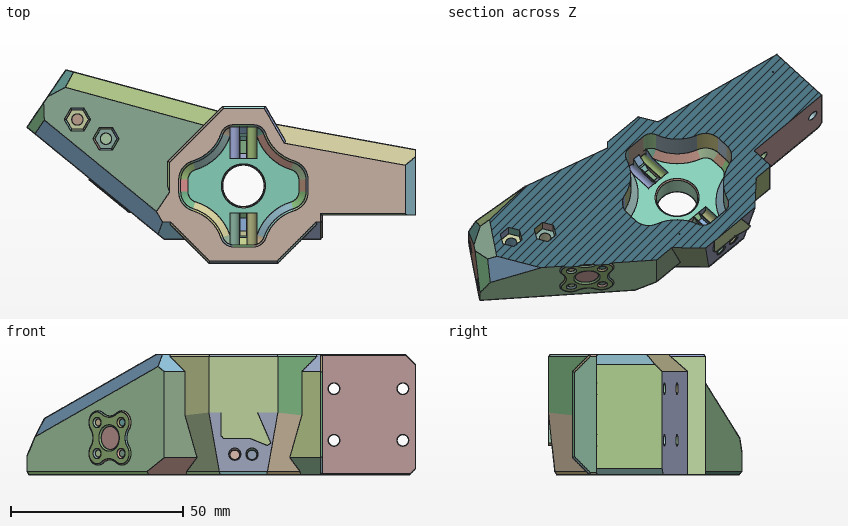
import cadquery as cq
import math

HEIGHT = 35.0
EDGE_BREAK = 0.6
FOOT_HEIGHT = 1.0
ARM_FOOT_INSET = 1.0
BOSS_FOOT_INSET = 0.6
SCREW_D = 3.3
BIG_CHAMFER = 5.0

BOSS_LEFT = -22.0
BOSS_RIGHT = 22.4
BOSS_BACK = 23.1
BOSS_FRONT = -22.5
BOSS_BACK_LEFT = -6.0
BOSS_BACK_RIGHT = 6.4
BOSS_FRONT_HALF = 10.0
BACK_RIGHT_ANGLE = 60.0
DRAFT_TOP = 18.0
DRAFT_SIDE_TOP = 17.2
DRAFT_FOOT_Y = -20.7
DRAFT_FOOT_HALF = 7.0

BLOCK_FRONT = -15.55
BLOCK_RIGHT = 22.95

ARM_ANGLE = 34.0
ARM_SLOPE = 24.0
ARM_LEVEL_REACH = 16.75
ARM_TIP = (-62.86, 17.0)
ARM_BACK_CORNER = (-51.55, 33.7)
ARM_FRONT_CORNER_X = -23.0
ARM_BACK_ANGLE = 15.2
ARM_INNER_BACK_X = -4.0
ARM_INNER_FRONT_X = 12.0
RIDGE_FRONT_HIGH = (-25.2, -7.5)
RIDGE_FRONT_LOW = (-57.8, 19.1)
RIDGE_BACK_HIGH = (-11.5, 17.6)
RIDGE_BACK_LOW = (-51.7, 28.6)
FRONT_BEVEL_LOW_Z = 10.8
FRONT_BEVEL_LOW_Y = 15.4
BACK_BEVEL_LOW = (-49.2, 33.05, 10.7)
TIP_FRONT_Z = 5.5
TIP_BACK_Z = 6.6
TIP_FRONT_SHARE = 0.43
TIP_BACK_SHARE = 0.53

NUT_FIRST = (-48.2, 19.25)
NUT_SPACING = 10.0
NUT_FLATS = 5.6
HEX_FLAT_SHARE = math.cos(math.radians(30))
NUT_RIM = 0.5
NUT_FLOOR = 14.0
NUT_SCREW_DEPTH = 6.0
END_HOLE_SPACING = 12.9
END_HOLE_Z = 3.9
END_HOLE_DEPTH = 12.0

PAD_CENTRE_X = -38.75
PAD_CENTRE_Z = 10.7
PAD_LOBE_PITCH = 9.0
PAD_HALF = 7.9
PAD_WAIST_HALF = 6.4
PAD_RAISE = 0.4
PAD_LOBE_DISH_D = 3.0
PAD_DISH_D = 7.7
PAD_DISH_DEPTH = 0.5

PLAQUE_OUTLINE = [
    (-6.46, DRAFT_TOP),
    (-6.46, 11.3),
    (-5.8, 10.6),
    (1.85, 10.6),
    (6.95, 8.5),
    (7.97, 9.2),
    (4.15, DRAFT_TOP),
]

RIGHT_END = 50.0
RIGHT_FRONT = -8.5
RIGHT_END_BACK = 10.5
RIGHT_BACK_ANGLE = 10.35
RIGHT_TOP_CHAMFER = 3.0
RIGHT_FOOT_CHAMFER = 1.8
RIGHT_EDGE_BREAK = 0.4
RIGHT_HOLE_X = (26.3, 46.3)
RIGHT_HOLE_Z = (10.0, 25.0)

FLOOR_Z = 7.1
FLOOR_CHAMFER = 2.1
CENTRE_D = 12.0
CENTRE_RIM = 0.4
LOBE_X = 18.2
LOBE_X_FLAT = 1.7
LOBE_Y = 17.15
LOBE_Y_FLAT = 2.9
LOBE_X_R = 5.2
LOBE_Y_R = 3.2
FLANK_R = 13.0

CHANNEL_X = 2.5
CHANNEL_Z = 5.8
CHANNEL_END = 7.95
CHANNEL_D = 2.8
CHANNEL_RIM_D = 3.5
NOTCH_WIDTH = 1.9
NOTCH_OUTER = 14.5
NOTCH_DEPTH = 1.4

TALL = 200.0
CLEARANCE = 1.0


def along(angle):
    return math.cos(math.radians(angle)), math.sin(math.radians(angle))


def trim(body, p, q, r):
    """Cut away the side of the plane p-q-r that does not hold the centre of the body."""
    a, b, c = cq.Vector(*p), cq.Vector(*q), cq.Vector(*r)
    normal = (b - a).cross(c - a)
    if normal.dot(body.val().Center() - a) > 0:
        normal = -normal
    plane = cq.Plane(origin=a.toTuple(), xDir=(b - a).toTuple(), normal=normal.toTuple())
    return body.cut(cq.Workplane(plane).rect(TALL, TALL).extrude(TALL))


def arm_top_z(point):
    """Height of the sloping top of the left arm at a point in plan."""
    c, s = along(ARM_ANGLE)
    reach = -point[0] * c + point[1] * s
    return HEIGHT - (reach - ARM_LEVEL_REACH) * math.tan(math.radians(ARM_SLOPE))


def on_arm_top(point):
    return (point[0], point[1], arm_top_z(point))


def between(start, end, share):
    return tuple(a + (b - a) * share for a, b in zip(start, end))


ARM_FRONT_CORNER = (ARM_FRONT_CORNER_X, BLOCK_FRONT)
FRONT_FACE_ANGLE = math.degrees(
    math.atan2(ARM_FRONT_CORNER[1] - ARM_TIP[1], ARM_FRONT_CORNER[0] - ARM_TIP[0])
)


def arm_front_at_y(y):
    share = (y - ARM_TIP[1]) / (ARM_FRONT_CORNER[1] - ARM_TIP[1])
    return between(ARM_TIP, ARM_FRONT_CORNER, share)


def chamfer_block_front(body):
    """Bevel the upper and lower front edges that the block and the left arm share."""
    bevel_y = BLOCK_FRONT + BIG_CHAMFER
    for level, inner in ((HEIGHT, HEIGHT - BIG_CHAMFER), (0, BIG_CHAMFER)):
        body = trim(body, (0, bevel_y, level), (1, bevel_y, level), (0, BLOCK_FRONT, inner))
    return body


def make_boss():
    """Octagon whose front and front flanks lean inward below a break line and end in a bevelled foot."""
    front_run = -BOSS_FRONT_HALF - BOSS_LEFT
    side_front = BOSS_FRONT + (BOSS_RIGHT - BOSS_FRONT_HALF)
    side_back = BOSS_BACK - (BOSS_RIGHT - BOSS_BACK_RIGHT) * math.tan(math.radians(BACK_RIGHT_ANGLE))
    boss = (
        cq.Workplane("XY")
        .polyline(
            [
                (-BOSS_FRONT_HALF, BOSS_FRONT),
                (BOSS_FRONT_HALF, BOSS_FRONT),
                (BOSS_RIGHT, side_front),
                (BOSS_RIGHT, side_back),
                (BOSS_BACK_RIGHT, BOSS_BACK),
                (BOSS_BACK_LEFT, BOSS_BACK),
                (BOSS_LEFT, BOSS_BACK + BOSS_LEFT - BOSS_BACK_LEFT),
                (BOSS_LEFT, BOSS_FRONT + front_run),
            ]
        )
        .close()
        .extrude(HEIGHT)
        .faces(">Z")
        .chamfer(EDGE_BREAK)
    )
    front_toe = (0, DRAFT_FOOT_Y, FOOT_HEIGHT)
    boss = trim(boss, (0, BOSS_FRONT, DRAFT_TOP), (1, BOSS_FRONT, DRAFT_TOP), front_toe)
    toe_step = (1, DRAFT_FOOT_Y, FOOT_HEIGHT)
    boss = trim(boss, front_toe, toe_step, (0, DRAFT_FOOT_Y + BOSS_FOOT_INSET, 0))
    side_run = BLOCK_FRONT - BOSS_FRONT
    level_share = (DRAFT_TOP - DRAFT_SIDE_TOP) / (DRAFT_TOP - FOOT_HEIGHT)
    diagonal_inset = BOSS_FOOT_INSET * math.sqrt(0.5)
    for side in (-1, 1):
        corner = (side * BOSS_FRONT_HALF, BOSS_FRONT, DRAFT_TOP)
        flank = (side * (BOSS_FRONT_HALF + side_run), BLOCK_FRONT, DRAFT_SIDE_TOP)
        toe = (side * DRAFT_FOOT_HALF, DRAFT_FOOT_Y, FOOT_HEIGHT)
        toe_flank = tuple(t + f - c for t, f, c in zip(toe, flank, between(corner, toe, level_share)))
        toe_inset = (toe[0] - side * diagonal_inset, toe[1] + diagonal_inset, 0)
        boss = trim(boss, corner, flank, toe)
        boss = trim(boss, toe, toe_flank, toe_inset)
    return boss


def make_block():
    block = (
        cq.Workplane("XY")
        .rect(BLOCK_RIGHT, -BLOCK_FRONT, centered=False)
        .extrude(HEIGHT)
        .translate((0, BLOCK_FRONT, 0))
    )
    return chamfer_block_front(block).faces(">X").chamfer(EDGE_BREAK)


def make_left_arm():
    back_drop = (ARM_INNER_BACK_X - ARM_BACK_CORNER[0]) * math.tan(math.radians(ARM_BACK_ANGLE))
    inner_back = (ARM_INNER_BACK_X, ARM_BACK_CORNER[1] - back_drop)
    inner_front = (ARM_INNER_FRONT_X, BLOCK_FRONT)
    arm = (
        cq.Workplane("XY")
        .polyline([ARM_TIP, ARM_FRONT_CORNER, inner_front, inner_back, ARM_BACK_CORNER])
        .close()
        .extrude(HEIGHT)
    )

    c, s = along(ARM_ANGLE)
    high = (-ARM_LEVEL_REACH * c, ARM_LEVEL_REACH * s)
    level_step = (high[0] + s, high[1] + c)
    ridge_front_low = on_arm_top(RIDGE_FRONT_LOW)
    ridge_back_low = on_arm_top(RIDGE_BACK_LOW)
    arm = trim(arm, on_arm_top(high), on_arm_top(level_step), ridge_front_low)

    front_low = arm_front_at_y(FRONT_BEVEL_LOW_Y) + (FRONT_BEVEL_LOW_Z,)
    arm = trim(arm, on_arm_top(RIDGE_FRONT_HIGH), ridge_front_low, front_low)
    arm = trim(arm, on_arm_top(RIDGE_BACK_HIGH), ridge_back_low, BACK_BEVEL_LOW)

    tip_front = on_arm_top(between(ARM_TIP, ARM_BACK_CORNER, TIP_FRONT_SHARE))
    tip_back = on_arm_top(between(ARM_TIP, ARM_BACK_CORNER, TIP_BACK_SHARE))
    arm = trim(arm, tip_front, ridge_front_low, ARM_TIP + (TIP_FRONT_Z,))
    arm = trim(arm, tip_back, ridge_back_low, ARM_BACK_CORNER + (TIP_BACK_Z,))

    arm = break_foot(arm, ARM_FRONT_CORNER, ARM_TIP)
    arm = break_foot(arm, ARM_BACK_CORNER, inner_back)
    arm = chamfer_block_front(arm)
    for offset in (-END_HOLE_SPACING / 2, END_HOLE_SPACING / 2):
        arm = arm.cut(make_end_hole(offset))
    return arm.cut(make_nut_pockets())


def break_foot(body, start, end):
    """Bevel along the underside edge of the wall that runs clockwise from start to end."""
    dx, dy = end[0] - start[0], end[1] - start[1]
    length = math.hypot(dx, dy)
    inset = (start[0] + dy / length * ARM_FOOT_INSET, start[1] - dx / length * ARM_FOOT_INSET)
    return trim(body, start + (FOOT_HEIGHT,), end + (FOOT_HEIGHT,), inset + (0,))


def make_right_arm():
    root_back = RIGHT_END_BACK + RIGHT_END * math.tan(math.radians(RIGHT_BACK_ANGLE))
    arm = (
        cq.Workplane("XY")
        .polyline([(0, RIGHT_FRONT), (RIGHT_END, RIGHT_FRONT), (RIGHT_END, RIGHT_END_BACK), (0, root_back)])
        .close()
        .extrude(HEIGHT)
    )
    c, s = along(RIGHT_BACK_ANGLE)
    inset_back = root_back - BIG_CHAMFER / c
    arm = trim(
        arm,
        (0, root_back, HEIGHT - BIG_CHAMFER),
        (c, root_back - s, HEIGHT - BIG_CHAMFER),
        (0, inset_back, HEIGHT),
    )
    arm = trim(
        arm,
        (RIGHT_END, 0, HEIGHT - RIGHT_TOP_CHAMFER),
        (RIGHT_END, 1, HEIGHT - RIGHT_TOP_CHAMFER),
        (RIGHT_END - RIGHT_TOP_CHAMFER, 0, HEIGHT),
    )
    arm = arm.faces(">X").edges("<Z").chamfer(RIGHT_FOOT_CHAMFER)
    for level in (">Z", "<Z"):
        arm = arm.faces(level).edges("<Y").chamfer(RIGHT_EDGE_BREAK)
    places = [(x, z) for x in RIGHT_HOLE_X for z in RIGHT_HOLE_Z]
    holes = cq.Workplane("XZ").pushPoints(places).circle(SCREW_D / 2).extrude(TALL, both=True)
    return arm.cut(holes)


def bore_outline():
    """Four-lobed outline: flat lobe ends, round shoulders and hollow flanks, all tangent."""
    centre_x = (LOBE_X - LOBE_X_R, LOBE_X_FLAT)
    centre_y = (LOBE_Y_FLAT, LOBE_Y - LOBE_Y_R)
    step = (centre_y[0] - centre_x[0], centre_y[1] - centre_x[1])
    span = math.hypot(*step)
    reach_x, reach_y = LOBE_X_R + FLANK_R, LOBE_Y_R + FLANK_R
    foot = (reach_x**2 - reach_y**2 + span**2) / (2 * span)
    rise = math.sqrt(reach_x**2 - foot**2)
    ux, uy = step[0] / span, step[1] / span
    centre_flank = (centre_x[0] + ux * foot + uy * rise, centre_x[1] + uy * foot - ux * rise)

    flank_x = between(centre_x, centre_flank, LOBE_X_R / reach_x)
    flank_y = between(centre_y, centre_flank, LOBE_Y_R / reach_y)
    start, end = (LOBE_X, LOBE_X_FLAT), (LOBE_Y_FLAT, LOBE_Y)
    quarter = [
        (start, arc_middle(centre_x, LOBE_X_R, start, flank_x), flank_x),
        (flank_x, arc_middle(centre_flank, FLANK_R, flank_x, flank_y), flank_y),
        (flank_y, arc_middle(centre_y, LOBE_Y_R, flank_y, end), end),
    ]
    outline = cq.Workplane("XY", origin=(0, 0, FLOOR_Z)).moveTo(LOBE_X, -LOBE_X_FLAT)
    for sx, sy in ((1, 1), (-1, 1), (-1, -1), (1, -1)):
        arcs = quarter if sx == sy else [arc[::-1] for arc in reversed(quarter)]
        outline = outline.lineTo(sx * arcs[0][0][0], sy * arcs[0][0][1])
        for _, middle, end in arcs:
            outline = outline.threePointArc((sx * middle[0], sy * middle[1]), (sx * end[0], sy * end[1]))
    return outline.close()


def arc_middle(centre, radius, start, end):
    """Middle of the short arc about the centre from start to end."""
    dx = (start[0] + end[0]) / 2 - centre[0]
    dy = (start[1] + end[1]) / 2 - centre[1]
    scale = radius / math.hypot(dx, dy)
    return (centre[0] + dx * scale, centre[1] + dy * scale)


def make_bore():
    cavity = bore_outline().extrude(HEIGHT - FLOOR_Z).faces("<Z").chamfer(FLOOR_CHAMFER)
    rim = (
        bore_outline()
        .extrude(EDGE_BREAK, taper=-45)
        .translate((0, 0, HEIGHT - EDGE_BREAK - FLOOR_Z))
    )
    drain = cq.Workplane("XY").circle(CENTRE_D / 2).extrude(HEIGHT)
    drain_rim = (
        cq.Workplane("XY", origin=(0, 0, FLOOR_Z - CENTRE_RIM))
        .circle(CENTRE_D / 2)
        .extrude(CENTRE_RIM, taper=-45)
    )
    return cavity.union(rim).union(drain).union(drain_rim)


def make_channels():
    """Screw holes from front and back, opened into the bore floor, with a notch between each pair."""
    tools = cq.Workplane("XY")
    channel_length = LOBE_Y - CHANNEL_END
    channel_middle = CHANNEL_END + channel_length / 2
    floor_run = (CHANNEL_END + NOTCH_DEPTH, NOTCH_OUTER - NOTCH_DEPTH)
    for end in (-1, 1):
        for x in (-CHANNEL_X, CHANNEL_X):
            hole = cq.Workplane("XZ", origin=(x, end * CHANNEL_END, CHANNEL_Z)).circle(CHANNEL_D / 2)
            tools = tools.union(hole.extrude(-end * (BOSS_BACK - CHANNEL_END)))
            opening = (
                cq.Workplane("XY", origin=(x, end * channel_middle, CHANNEL_Z))
                .rect(CHANNEL_D, channel_length)
                .extrude(FLOOR_Z + FLOOR_CHAMFER - CHANNEL_Z)
            )
            tools = tools.union(opening)
        notch = (
            cq.Workplane("YZ")
            .polyline(
                [
                    (end * CHANNEL_END, FLOOR_Z),
                    (end * floor_run[0], FLOOR_Z - NOTCH_DEPTH),
                    (end * floor_run[1], FLOOR_Z - NOTCH_DEPTH),
                    (end * NOTCH_OUTER, FLOOR_Z),
                ]
            )
            .close()
            .extrude(NOTCH_WIDTH / 2, both=True)
        )
        tools = tools.union(notch)
    drop = (DRAFT_TOP - CHANNEL_Z) / (DRAFT_TOP - FOOT_HEIGHT)
    entry_y = BOSS_FRONT + (DRAFT_FOOT_Y - BOSS_FRONT) * drop
    rim_depth = (CHANNEL_RIM_D - CHANNEL_D) / 2
    entry = (
        cq.Workplane("XZ", origin=(0, entry_y + rim_depth, 0))
        .pushPoints([(-CHANNEL_X, CHANNEL_Z), (CHANNEL_X, CHANNEL_Z)])
        .circle(CHANNEL_D / 2)
        .extrude(2 * rim_depth, taper=-45)
    )
    return tools.union(entry)


def make_nut_pockets():
    """Upright hexagonal pockets along the arm, each with a blind screw hole in its floor."""
    c, s = along(ARM_ANGLE)
    tools = cq.Workplane("XY")
    across_corners = NUT_FLATS / HEX_FLAT_SHARE
    for i in range(2):
        centre = (NUT_FIRST[0] + i * NUT_SPACING * c, NUT_FIRST[1] - i * NUT_SPACING * s)
        floor = cq.Workplane("XY", origin=centre + (NUT_FLOOR,))
        pocket = floor.polygon(6, across_corners).extrude(HEIGHT)
        screw = floor.circle(SCREW_D / 2).extrude(-NUT_SCREW_DEPTH)
        tools = tools.union(pocket).union(screw).union(nut_rim(centre))
    return tools


def nut_rim(centre):
    """Lead-in of a nut pocket: a hexagon that widens up to the sloping top of the arm."""
    low, high = [], []
    small = NUT_FLATS / 2 / HEX_FLAT_SHARE
    large = (NUT_FLATS / 2 + NUT_RIM) / HEX_FLAT_SHARE
    for i in range(6):
        c, s = along(60 * i)
        inner = (centre[0] + small * c, centre[1] + small * s)
        outer = (centre[0] + large * c, centre[1] + large * s)
        low.append(cq.Vector(inner[0], inner[1], arm_top_z(inner) - NUT_RIM))
        high.append(cq.Vector(*on_arm_top(outer)))
    rings = [cq.Wire.makePolygon(ring, close=True) for ring in (low, high)]
    return cq.Workplane(cq.Solid.makeLoft(rings, True))


def make_end_hole(offset):
    """Blind hole square to the end of the left arm, offset along that end from its middle."""
    c, s = along(ARM_ANGLE)
    middle = between(ARM_TIP, ARM_BACK_CORNER, 0.5)
    face = cq.Plane(origin=middle + (END_HOLE_Z,), xDir=(s, c, 0), normal=(c, -s, 0))
    start = cq.Workplane(face).workplane(offset=-CLEARANCE).center(offset, 0)
    return start.circle(SCREW_D / 2).extrude(END_HOLE_DEPTH + CLEARANCE)


def pad_plane():
    c, s = along(FRONT_FACE_ANGLE)
    share = (PAD_CENTRE_X - ARM_TIP[0]) / (ARM_FRONT_CORNER[0] - ARM_TIP[0])
    centre = between(ARM_TIP, ARM_FRONT_CORNER, share)
    return cq.Plane(origin=centre + (PAD_CENTRE_Z,), xDir=(c, s, 0), normal=(s, -c, 0))


def make_pad():
    """Square pad with a round lobe about each small dish and tangent hollow sides."""
    lobe = PAD_LOBE_PITCH / 2
    lobe_r = PAD_HALF - lobe
    waist_in = PAD_WAIST_HALF - lobe
    waist_r = (waist_in**2 + lobe**2 - lobe_r**2) / (2 * (lobe_r - waist_in))
    waist_centre = (PAD_WAIST_HALF + waist_r, 0)
    join = between((lobe, lobe), waist_centre, lobe_r / (lobe_r + waist_r))
    diagonal = lobe + lobe_r * math.sqrt(0.5)
    outline = cq.Workplane(pad_plane()).moveTo(join[1], join[0])
    for c, s in ((1, 0), (0, -1), (-1, 0), (0, 1)):
        lobe_middle, lobe_end, waist_middle, waist_end = [
            (x * c - y * s, x * s + y * c)
            for x, y in ((diagonal, diagonal), join, (PAD_WAIST_HALF, 0), (join[0], -join[1]))
        ]
        outline = outline.threePointArc(lobe_middle, lobe_end).threePointArc(waist_middle, waist_end)
    return outline.close().extrude(PAD_RAISE, taper=45)


def make_pad_dishes():
    """Shallow conical dishes in the mounting pad: one in the middle and one in each lobe."""
    half = PAD_LOBE_PITCH / 2
    surface = cq.Workplane(pad_plane()).workplane(offset=PAD_RAISE)
    middle = surface.circle(PAD_DISH_D / 2).extrude(-PAD_DISH_DEPTH, taper=45)
    places = [(x, y) for x in (-half, half) for y in (-half, half)]
    corners = surface.pushPoints(places).circle(PAD_LOBE_DISH_D / 2).extrude(-PAD_DISH_DEPTH, taper=45)
    return middle.union(corners)


def make_plaque():
    """Flat panel that stands out of the drafted lower front, flush with the upper front."""
    root = cq.Workplane("XZ", origin=(0, DRAFT_FOOT_Y, 0))
    return root.polyline(PLAQUE_OUTLINE).close().extrude(DRAFT_FOOT_Y - BOSS_FRONT)


result = (
    make_boss()
    .union(make_block())
    .union(make_left_arm())
    .union(make_right_arm())
    .union(make_pad())
    .union(make_plaque())
    .cut(make_pad_dishes())
    .cut(make_bore())
    .cut(make_channels())
)